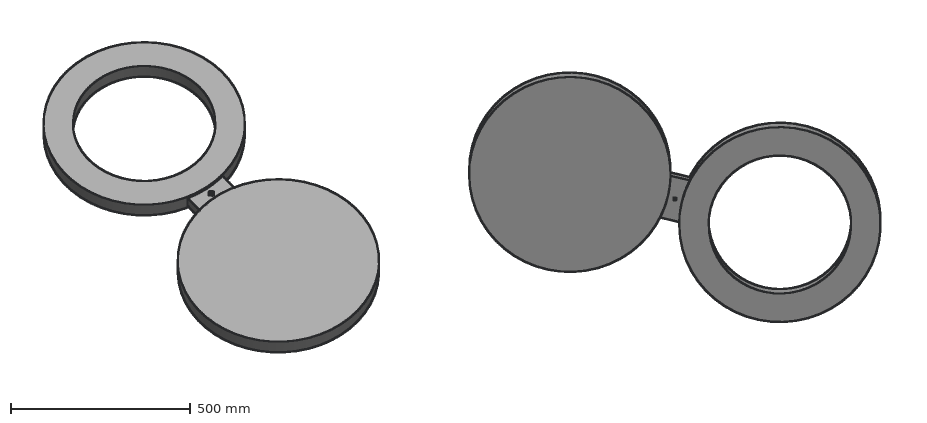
import cadquery as cq

plate_diameter = 561.85
plate_thickness = 50.8
centre_spacing = 603.25
bore_diameter = 397.0

web_width = 124.0
web_thickness = 38.1

hole_diameter = 8.5
counterbore_diameter = 16.0
counterbore_depth = 4.0

ring_x = -centre_spacing / 2
blank_x = centre_spacing / 2


def make_cylinder(x, diameter):
    """Vertical cylinder at x, as tall as the plates and centred on Z = 0."""
    return (
        cq.Workplane("XY", origin=(x, 0, -plate_thickness / 2))
        .circle(diameter / 2)
        .extrude(plate_thickness)
    )


def make_web():
    """Bar from one plate centre to the other, with its hole; its ends are buried in the plates."""
    return (
        cq.Workplane("XY")
        .box(centre_spacing, web_width, web_thickness)
        .faces(">Z")
        .workplane()
        .cboreHole(hole_diameter, counterbore_diameter, counterbore_depth)
    )


ring_plate = make_cylinder(ring_x, plate_diameter)
blank_plate = make_cylinder(blank_x, plate_diameter)
bore = make_cylinder(ring_x, bore_diameter)

result = make_web().union(ring_plate).union(blank_plate).cut(bore)